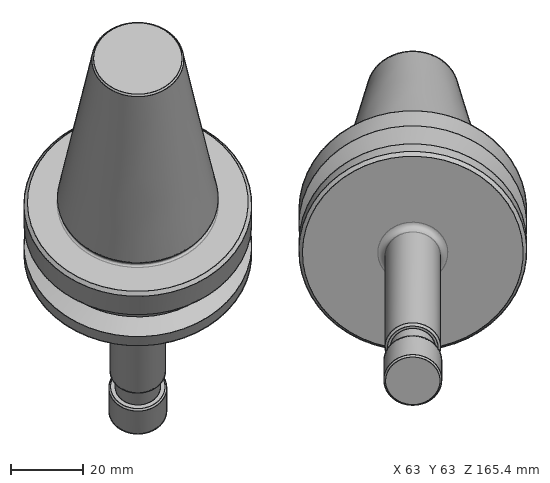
import cadquery as cq

total_height = 165.4
gauge_height = 100.0
flange_top = 98.0
flange_bottom = 73.0
groove_center = 83.4
shank_end = 18.5
collar_top = 11.7

flange_radius = 63.0 / 2
groove_radius = 26.6
taper_large_radius = 44.5 / 2
undercut_radius = 21.7
shank_radius = 15.4 / 2
neck_radius = 6.3
collar_radius = 16.0 / 2

groove_floor_width = 5.1
groove_mouth_width = 10.3
taper_rate = 7 / 24
taper_small_radius = taper_large_radius - (total_height - gauge_height) * taper_rate / 2

flange_chamfer = 1.0
undercut_fillet = 0.7
taper_chamfer = 0.5
shank_root_fillet = 2.0
shank_chamfer = 0.7
collar_chamfer = 0.5


def cylinder(radius, bottom, top):
    return cq.Workplane("XY").workplane(offset=bottom).circle(radius).extrude(top - bottom)


def ring(profile):
    """Revolve a closed (radius, height) outline around the Z axis."""
    return cq.Workplane("XZ").polyline(profile).close().revolve(360, (0, 0), (0, 1))


def make_flange():
    flange = cylinder(flange_radius, flange_bottom, flange_top)
    flange = flange.faces("<Z or >Z").edges().chamfer(flange_chamfer)
    gripper_groove = ring([
        (flange_radius, groove_center - groove_mouth_width / 2),
        (groove_radius, groove_center - groove_floor_width / 2),
        (groove_radius, groove_center + groove_floor_width / 2),
        (flange_radius, groove_center + groove_mouth_width / 2),
    ])
    return flange.cut(gripper_groove)


def make_taper():
    return ring([
        (0, gauge_height - taper_chamfer),
        (undercut_radius, gauge_height - taper_chamfer),
        (taper_large_radius, gauge_height),
        (taper_small_radius, total_height - taper_chamfer),
        (taper_small_radius - taper_chamfer, total_height),
        (0, total_height),
    ])


def make_undercut():
    """Short cylinder between taper and flange, flaring into the flange."""
    return (
        cq.Workplane("XZ")
        .moveTo(0, flange_top)
        .lineTo(undercut_radius + undercut_fillet, flange_top)
        .radiusArc((undercut_radius, flange_top + undercut_fillet), undercut_fillet)
        .lineTo(undercut_radius, gauge_height - taper_chamfer)
        .lineTo(0, gauge_height - taper_chamfer)
        .close()
        .revolve(360, (0, 0), (0, 1))
    )


def make_shank():
    """Shank with a chamfered free end and a fillet into the flange."""
    return (
        cq.Workplane("XZ")
        .moveTo(0, shank_end)
        .lineTo(shank_radius - shank_chamfer, shank_end)
        .lineTo(shank_radius, shank_end + shank_chamfer)
        .lineTo(shank_radius, flange_bottom - shank_root_fillet)
        .radiusArc((shank_radius + shank_root_fillet, flange_bottom), shank_root_fillet)
        .lineTo(0, flange_bottom)
        .close()
        .revolve(360, (0, 0), (0, 1))
    )


def make_collar():
    collar = cylinder(collar_radius, 0, collar_top)
    return collar.faces("<Z or >Z").edges().chamfer(collar_chamfer)


neck = cylinder(neck_radius, collar_top, shank_end)

result = (
    make_flange()
    .union(make_undercut())
    .union(make_taper())
    .union(make_shank())
    .union(neck)
    .union(make_collar())
)